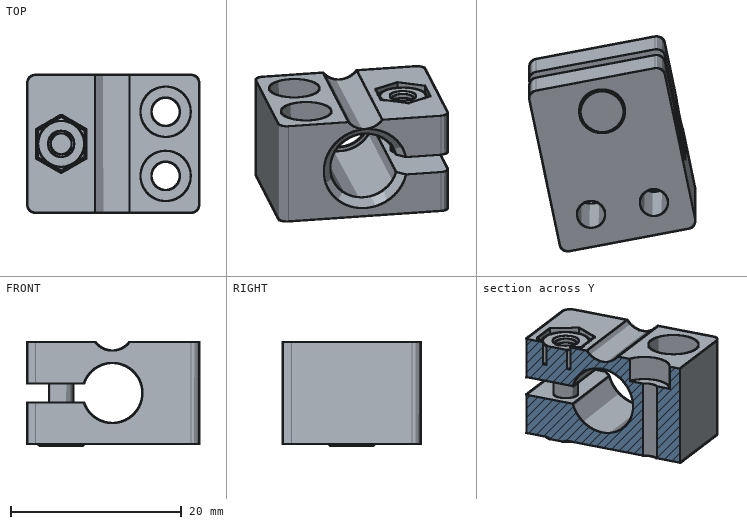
import cadquery as cq
import math

length = 20.2
width = 16.2
height = 12.0
corner_radius = 1.0
left_end = -length / 2
front_face = -width / 2

bore_x = -0.1
bore_z = height / 2
lip_diameter = 7.0
lip_length = 0.16
seat_diameter = 8.0
mouth_diameter = 9.94
mouth_length = 1.0
slot_height = 2.18

groove_radius = 2.5
groove_depth = 1.0

hole_diameter = 3.3
counterbore_diameter = 5.9
counterbore_depth = 2.8
hole_x = 6.15
hole_spacing = 7.51

screw_x = -6.1
screw_diameter = 2.9
head_diameter = 5.4
head_projection = 0.2
head_edge_chamfer = 0.18
pocket_across_flats = 5.9
nut_across_flats = 5.5
nut_recess = 0.4
nut_thickness = 2.4
nut_face_diameter = 5.4
nut_corner_slope = math.tan(math.radians(30))
nut_hole_diameter = 2.46
nut_countersink_diameter = 3.07
nut_countersink_depth = 0.25
nut_hole_depth = 0.75

nut_top = height - nut_recess
pocket_floor = nut_top - nut_thickness


def cylinder(diameter, bottom, top, x=screw_x, y=0):
    """Upright cylinder between two heights."""
    return cq.Workplane("XY", origin=(x, y, bottom)).circle(diameter / 2).extrude(top - bottom)


def hexagon(across_flats, bottom, top):
    """Upright hexagonal prism on the screw axis with two flats facing +X and -X."""
    prism = cq.Workplane("XY", origin=(screw_x, 0, bottom)).transformed(rotate=(0, 0, 30))
    corner_diameter = across_flats / math.cos(math.radians(30))
    return prism.polygon(6, corner_diameter).extrude(top - bottom)


def make_block():
    block = cq.Workplane("XY").box(length, width, height, centered=(True, True, False))
    return block.edges("|Z").fillet(corner_radius)


def make_bore():
    """Stepped and flared bore, revolved about its own axis along Y."""
    lip_end = front_face + lip_length
    mouth_start = width / 2 - mouth_length
    profile = (
        cq.Workplane("XY", origin=(bore_x, 0, bore_z))
        .moveTo(0, front_face)
        .lineTo(lip_diameter / 2, front_face)
        .lineTo(lip_diameter / 2, lip_end)
        .lineTo(seat_diameter / 2, lip_end)
        .lineTo(seat_diameter / 2, mouth_start)
        .lineTo(mouth_diameter / 2, width / 2)
        .lineTo(0, width / 2)
        .close()
    )
    return profile.revolve(360, (0, 0, 0), (0, 1, 0))


def make_slot():
    """Clamping slot from the left end to the bore axis."""
    slot_length = bore_x - left_end
    slot = cq.Workplane("XY").box(slot_length, width, slot_height, centered=(False, True, True))
    return slot.translate((left_end, 0, bore_z))


def make_groove():
    axis_z = height - groove_depth + groove_radius
    groove = cq.Workplane("XZ", origin=(bore_x, 0, axis_z)).circle(groove_radius)
    return groove.extrude(width / 2, both=True)


def make_mounting_hole(y):
    hole = cylinder(hole_diameter, 0, height, hole_x, y)
    return hole.union(cylinder(counterbore_diameter, height - counterbore_depth, height, hole_x, y))


def make_nut():
    """Nut with chamfered corners and a countersunk hole that ends at the screw tip."""
    cone_radius = nut_face_diameter / 2 + nut_thickness / nut_corner_slope
    corner_cone = cq.Workplane(
        cq.Solid.makeCone(
            cone_radius,
            nut_face_diameter / 2,
            nut_thickness,
            cq.Vector(screw_x, 0, pocket_floor),
        )
    )
    countersink = cq.Workplane(
        cq.Solid.makeCone(
            nut_hole_diameter / 2,
            nut_countersink_diameter / 2,
            nut_countersink_depth,
            cq.Vector(screw_x, 0, nut_top - nut_countersink_depth),
        )
    )
    nut = hexagon(nut_across_flats, pocket_floor, nut_top).intersect(corner_cone)
    return nut.cut(cylinder(nut_hole_diameter, nut_top - nut_hole_depth, nut_top)).cut(countersink)


def make_screw_head():
    """Low screw head projecting below the block."""
    head = cylinder(head_diameter, -head_projection, 0)
    return head.faces("<Z").chamfer(head_edge_chamfer)


result = make_block().cut(make_bore()).cut(make_slot()).cut(make_groove())
for side in (-1, 1):
    result = result.cut(make_mounting_hole(side * hole_spacing / 2))
result = result.cut(hexagon(pocket_across_flats, pocket_floor, height))
result = result.union(make_nut())
result = result.union(cylinder(screw_diameter, 0, pocket_floor))
result = result.union(make_screw_head())